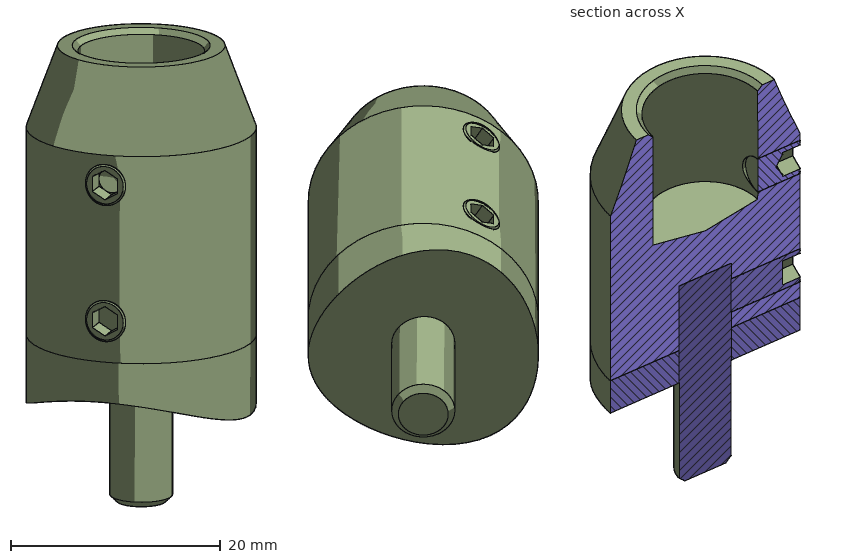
import cadquery as cq
import math

total_height = 44.95
sleeve_height = 28.5
sleeve_bottom = total_height - sleeve_height
base_thickness = 4.0
saddle_crown = sleeve_bottom - base_thickness

outer_diameter = 22.0
outer_radius = outer_diameter / 2
rim_diameter = 16.0
taper_height = 8.05
bore_diameter = 12.1
bore_radius = bore_diameter / 2
bore_depth = 13.95
bore_chamfer = 0.55
bore_floor_half_angle = 80

rail_radius = 21.2

stud_diameter = 6.02
stud_chamfer = 0.65
stud_insertion = 8.0

screw_diameter = 4.05
screw_chamfer = 0.2
socket_width = 2.5
socket_depth = 2.02
socket_corners = 6
socket_point_half_angle = 59
upper_screw_drop = 11.0
lower_screw_rise = 4.05
upper_screw_height = total_height - upper_screw_drop
lower_screw_height = sleeve_bottom + lower_screw_rise
screw_face_y = -outer_radius
upper_screw_length = outer_radius - bore_radius
lower_screw_length = outer_radius - stud_diameter / 2


def cone_height(radius, half_angle):
    return radius / math.tan(math.radians(half_angle))


def along_y(height):
    """Workplane on the screw face, drawing outward and extruding inward along +Y."""
    return cq.Workplane("XZ", origin=(0, screw_face_y, height))


def make_screw_hole(height):
    """Cross hole from the outside to the sleeve axis."""
    return along_y(height).circle(screw_diameter / 2).extrude(-outer_radius)


def make_stud_blank():
    """Plain cylinder of the stud, also used to cut its hole."""
    return cq.Workplane("XY").circle(stud_diameter / 2).extrude(sleeve_bottom + stud_insertion)


def make_stud():
    return make_stud_blank().faces("<Z").chamfer(stud_chamfer)


def make_bore():
    """Blind bore with a shallow conical floor and a chamfered mouth."""
    floor = total_height - bore_depth
    mouth_radius = bore_radius + bore_chamfer
    return (
        cq.Workplane("XZ")
        .moveTo(0, floor - cone_height(bore_radius, bore_floor_half_angle))
        .lineTo(bore_radius, floor)
        .lineTo(bore_radius, total_height - bore_chamfer)
        .lineTo(mouth_radius, total_height)
        .lineTo(0, total_height)
        .close()
        .revolve()
    )


def make_sleeve():
    """Cylinder with a tapered top, bored from above and cross-drilled for the screws."""
    shoulder = total_height - taper_height
    body = (
        cq.Workplane("XZ")
        .moveTo(0, sleeve_bottom)
        .lineTo(outer_radius, sleeve_bottom)
        .lineTo(outer_radius, shoulder)
        .lineTo(rim_diameter / 2, total_height)
        .lineTo(0, total_height)
        .close()
        .revolve()
    )
    body = body.cut(make_bore()).cut(make_stud_blank())
    for height in (upper_screw_height, lower_screw_height):
        body = body.cut(make_screw_hole(height))
    return body


def make_base():
    """Disc whose underside is hollowed by the rail."""
    disc = cq.Workplane("XY").circle(outer_radius).extrude(sleeve_bottom)
    rail = (
        cq.Workplane("XZ")
        .center(0, saddle_crown - rail_radius)
        .circle(rail_radius)
        .extrude(outer_diameter, both=True)
    )
    return disc.cut(rail).cut(make_stud_blank())


def make_set_screw(height, length, has_drill_point):
    """Headless hex-socket screw, with a conical or a flat socket floor."""
    blank = along_y(height).circle(screw_diameter / 2).extrude(-length).faces("<Y").chamfer(screw_chamfer)
    corner_radius = socket_width / math.sqrt(3)
    turns = [2 * math.pi * i / socket_corners for i in range(socket_corners)]
    corners = [(corner_radius * math.sin(turn), corner_radius * math.cos(turn)) for turn in turns]
    screw = blank.cut(along_y(height).polyline(corners).close().extrude(-socket_depth))
    if has_drill_point:
        tip = cq.Solid.makeCone(
            socket_width / 2,
            0,
            cone_height(socket_width / 2, socket_point_half_angle),
            pnt=cq.Vector(0, screw_face_y + socket_depth, height),
            dir=cq.Vector(0, 1, 0),
        )
        screw = screw.cut(cq.Workplane(tip))
    return screw


sleeve = make_sleeve()
base = make_base()
stud = make_stud()
set_screws = [
    make_set_screw(height, length, has_drill_point).val()
    for height, length, has_drill_point in [
        (upper_screw_height, upper_screw_length, True),
        (lower_screw_height, lower_screw_length, False),
    ]
]

result = cq.Compound.makeCompound([sleeve.val(), base.val(), stud.val(), *set_screws])